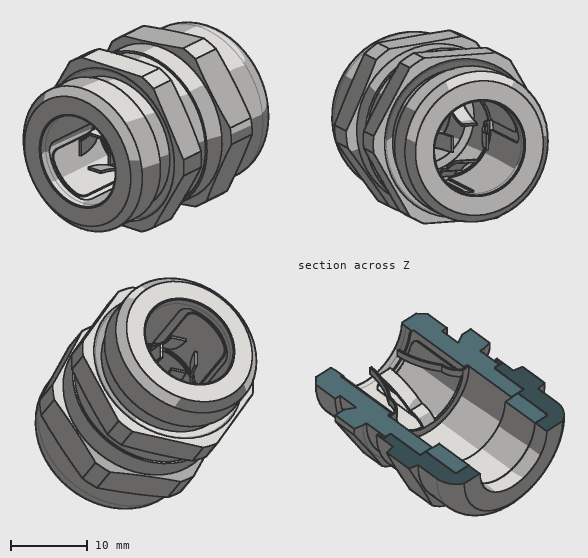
import cadquery as cq
import math

length = 28.13

across_flats = 22.0
corner_diameter = 24.2
hex_chamfer_depth = 0.28
cap_turn = 5.5

thread_radius = 10.0
thread_chamfer = 1.07
thread_length = 4.8
undercut_radius = 9.11
body_hex_start = 7.03
body_hex_end = 10.97
body_hex_face_radius = 10.85
collar_radius = 10.18
seat_rim_radius = 10.52
seat_cone_radius = 10.27
seat_rim_depth = 0.15
seat_depth = 0.8
neck_radius = 9.28
neck_end = 20.25

mouth_radius = 6.4
mouth_step_radius = 6.25
mouth_step_depth = 0.08
bore_radius = 6.15
bore_start = 0.9
ring_seat_radius = 7.03
pocket_radius = 6.45
pocket_start = 1.7
pocket_angle = 94.0
pocket_directions = (45.0, 225.0)
pad_radius = 6.25
pad_inset = 0.62
pad_angle = 70.0
pocket_corner = 1.13

sheet_thickness = 0.3
finger_count = 4
finger_width = 2.08
finger_tip_radius = 2.45
finger_tip_depth = 3.52
finger_tip_slope = 5.0
leg_end_radius = 4.65
leg_end_slope = 35.0
bend_end_radius = 5.9
contact_inner_radius = 5.95

cap_start = 13.5
cap_radius = 10.75
cap_hex_start = 16.6
cap_hex_end = 21.44
cap_mouth_radius = 10.46
cap_mouth_depth = 1.13
crown_start = 24.98
crown_radius = 3.5
cap_hole_radius = 5.94

seal_end = 25.88
seal_outer_radius = 8.15
seal_inner_radius = 5.88

tip_slope = math.radians(finger_tip_slope)
root_slope = math.radians(leg_end_slope)
leg_radius = (leg_end_radius - finger_tip_radius) / (math.cos(tip_slope) - math.cos(root_slope))
leg_end = finger_tip_depth + leg_radius * (math.sin(root_slope) - math.sin(tip_slope))
bend_radius = (bend_end_radius - leg_end_radius) / (1 - math.sin(root_slope))
ring_middle = leg_end + bend_radius * math.cos(root_slope)
finger_start_radius = (bend_end_radius + ring_seat_radius) / 2
collar_end = cap_start + cap_mouth_depth
ring_front = ring_middle - sheet_thickness / 2
crown_rise = length - crown_start
crown_end_radius = cap_radius - crown_radius + math.sqrt(crown_radius**2 - crown_rise**2)


def revolved(profile):
    """Turn a closed (radius, Y) profile about the Y axis."""
    return profile.close().revolve(360, (0, 0, 0), (0, 1, 0))


def cylinder(radius, start, end):
    return cq.Workplane("XZ", origin=(0, start, 0)).circle(radius).extrude(start - end)


def hexagon(start, end, chamfer_radius, chamfer_start):
    """Hexagon with flats up and down and turned corners, chamfered down to chamfer_radius."""
    sharp = (
        cq.Workplane("XZ", origin=(0, start, 0))
        .polygon(6, across_flats / math.cos(math.pi / 6))
        .extrude(start - end)
    )
    corner_radius = corner_diameter / 2
    envelope = cq.Workplane("XY").moveTo(0, start)
    if chamfer_start:
        envelope = envelope.lineTo(chamfer_radius, start).lineTo(corner_radius, start + hex_chamfer_depth)
    else:
        envelope = envelope.lineTo(corner_radius, start)
    envelope = (
        envelope.lineTo(corner_radius, end - hex_chamfer_depth)
        .lineTo(chamfer_radius, end)
        .lineTo(0, end)
    )
    return sharp.intersect(revolved(envelope))


def bore_sector(radius, start, angle, direction):
    """Sector of a cylinder from start to the contact ring, its front corners rounded."""
    inside = pad_radius / 2
    sector = (
        cq.Workplane("XY")
        .moveTo(inside, start)
        .lineTo(radius, start)
        .lineTo(radius, ring_front)
        .lineTo(inside, ring_front)
        .close()
        .revolve(angle, (0, 0, 0), (0, 1, 0))
        .faces("<Y")
        .edges("%LINE")
        .fillet(pocket_corner)
    )
    return sector.rotate((0, 0, 0), (0, 1, 0), -direction - angle / 2)


def make_body():
    shank = revolved(
        cq.Workplane("XY")
        .moveTo(0, 0)
        .lineTo(thread_radius - thread_chamfer, 0)
        .lineTo(thread_radius, thread_chamfer)
        .lineTo(thread_radius, thread_length)
        .lineTo(undercut_radius, thread_length)
        .lineTo(undercut_radius, body_hex_end)
        .lineTo(collar_radius, body_hex_end)
        .lineTo(collar_radius, collar_end)
        .lineTo(neck_radius, collar_end)
        .lineTo(neck_radius, neck_end)
        .lineTo(0, neck_end)
    )
    seat = revolved(
        cq.Workplane("XY")
        .moveTo(undercut_radius, body_hex_start)
        .lineTo(seat_rim_radius, body_hex_start)
        .lineTo(seat_cone_radius, body_hex_start + seat_rim_depth)
        .lineTo(undercut_radius, body_hex_start + seat_depth)
    )
    bore = revolved(
        cq.Workplane("XY")
        .moveTo(0, 0)
        .lineTo(mouth_radius, 0)
        .lineTo(mouth_step_radius, mouth_step_depth)
        .lineTo(bore_radius, bore_start)
        .lineTo(bore_radius, ring_front)
        .lineTo(ring_seat_radius, ring_front)
        .lineTo(ring_seat_radius, neck_end)
        .lineTo(0, neck_end)
    )
    body = shank.union(hexagon(body_hex_start, body_hex_end, body_hex_face_radius, False).cut(seat)).cut(bore)
    for direction in pocket_directions:
        pocket = bore_sector(pocket_radius, pocket_start, pocket_angle, direction)
        pad = bore_sector(pocket_radius, pocket_start + pad_inset, pad_angle, direction)
        body = body.cut(pocket.cut(pad.cut(cylinder(pad_radius, 0, length))))
    return body


def make_contact_ring():
    """Flat ring whose fingers bend from the ring towards the entry."""
    ring = cylinder(ring_seat_radius, ring_front, ring_front + sheet_thickness).cut(
        cylinder(contact_inner_radius, 0, length)
    )
    centre_line = (
        cq.Workplane("XY")
        .moveTo(finger_start_radius, ring_middle)
        .lineTo(bend_end_radius, ring_middle)
        .radiusArc((leg_end_radius, leg_end), -bend_radius)
        .radiusArc((finger_tip_radius, finger_tip_depth), -leg_radius)
    )
    finger = (
        cq.Workplane("YZ", origin=(finger_start_radius, ring_middle, 0))
        .rect(sheet_thickness, finger_width)
        .sweep(centre_line)
    )
    for index in range(finger_count):
        ring = ring.union(finger.rotate((0, 0, 0), (0, 1, 0), index * 360 / finger_count))
    return ring


def make_cap():
    crown_angle = math.acos(1 - (cap_radius - crown_end_radius) / crown_radius)
    half_angle = crown_angle / 2
    crown_middle = (
        cap_radius - crown_radius * (1 - math.cos(half_angle)),
        crown_start + crown_radius * math.sin(half_angle),
    )
    shell = revolved(
        cq.Workplane("XY")
        .moveTo(0, cap_start)
        .lineTo(cap_radius, cap_start)
        .lineTo(cap_radius, crown_start)
        .threePointArc(crown_middle, (crown_end_radius, length))
        .lineTo(0, length)
    )
    cap = (
        shell.union(hexagon(cap_hex_start, cap_hex_end, cap_radius, True))
        .cut(cylinder(cap_mouth_radius, cap_start, collar_end))
        .cut(cylinder(neck_radius, collar_end, neck_end))
        .cut(cylinder(seal_outer_radius, neck_end, seal_end))
        .cut(cylinder(cap_hole_radius, seal_end, length))
    )
    return cap.rotate((0, 0, 0), (0, 1, 0), -cap_turn)


def make_seal():
    return cylinder(seal_outer_radius, neck_end, seal_end).cut(
        cylinder(seal_inner_radius, neck_end, seal_end)
    )


body = make_body()
contact_ring = make_contact_ring()
cap = make_cap()
seal = make_seal()

result = cq.Compound.makeCompound([body.val(), contact_ring.val(), cap.val(), seal.val()])